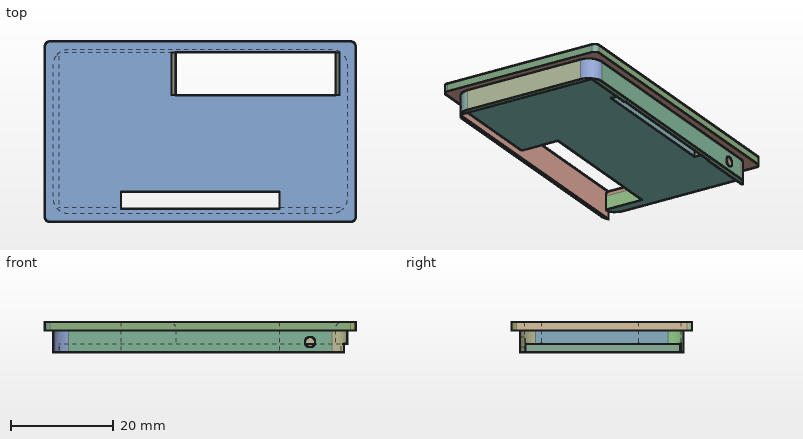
import cadquery as cq
import math

plate_length = 60.9
plate_width = 35.4
plate_thickness = 1.7
plate_corner_radius = 1.05

total_height = 5.95
rim_overhang = 1.65
body_corner_radius = 3.05
body_length = plate_length - 2 * rim_overhang
body_width = plate_width - 2 * rim_overhang
body_height = total_height - plate_thickness

recess_depth = 1.65
recess_wall = 1.15
recess_back_wall = 0.55

window_length = 32.9
window_width = 8.35
window_center_x = 41.3 - plate_length / 2
window_center_y = plate_width / 2 - 2.2 - window_width / 2
window_narrowing = 0.85
window_chamfer = 0.5
chamfer_angle = math.radians(45)
end_arc_radius = (window_narrowing - window_chamfer) / (1 - math.cos(chamfer_angle))
end_arc_height = end_arc_radius * math.sin(chamfer_angle)

slot_length = 30.95
slot_width = 3.3
slot_center_x = 0.0
slot_center_y = -plate_width / 2 + 2.6 + slot_width / 2

hole_diameter = 2.0
hole_center_x = 21.5
hole_center_z = 2.0
hole_depth = recess_wall


def rounded_block(length, width, height, radius, base_z):
    block = cq.Workplane("XY").workplane(offset=base_z).rect(length, width).extrude(height)
    return block.edges("|Z").fillet(radius)


def underside_recess():
    start_x = -body_length / 2 + recess_wall
    length = body_length / 2 - start_x
    width = body_width - recess_wall - recess_back_wall
    center_y = (recess_wall - recess_back_wall) / 2
    recess = cq.Workplane("XY").center(start_x + length / 2, center_y).rect(length, width)
    return recess.extrude(recess_depth)


def window_cut():
    top_half = window_length / 2
    chamfer_half = top_half - window_chamfer
    low_half = top_half - window_narrowing
    arc_top = total_height - window_chamfer
    arc_bottom = arc_top - end_arc_height
    back_y = window_center_y + window_width / 2
    profile = (
        cq.Workplane("XZ", origin=(window_center_x, back_y, 0))
        .moveTo(-low_half, 0)
        .lineTo(low_half, 0)
        .lineTo(low_half, arc_bottom)
        .radiusArc((chamfer_half, arc_top), end_arc_radius)
        .lineTo(top_half, total_height)
        .lineTo(-top_half, total_height)
        .lineTo(-chamfer_half, arc_top)
        .radiusArc((-low_half, arc_bottom), end_arc_radius)
        .close()
    )
    return profile.extrude(window_width)


def slot_cut():
    slot = cq.Workplane("XY").center(slot_center_x, slot_center_y).rect(slot_length, slot_width)
    return slot.extrude(total_height)


def side_hole():
    wall = cq.Workplane("XZ", origin=(hole_center_x, -body_width / 2, hole_center_z))
    return wall.circle(hole_diameter / 2).extrude(-hole_depth)


plate = rounded_block(plate_length, plate_width, plate_thickness, plate_corner_radius, body_height)
body = rounded_block(body_length, body_width, body_height, body_corner_radius, 0)
result = plate.union(body)
for cut in (underside_recess(), window_cut(), slot_cut(), side_hole()):
    result = result.cut(cut)